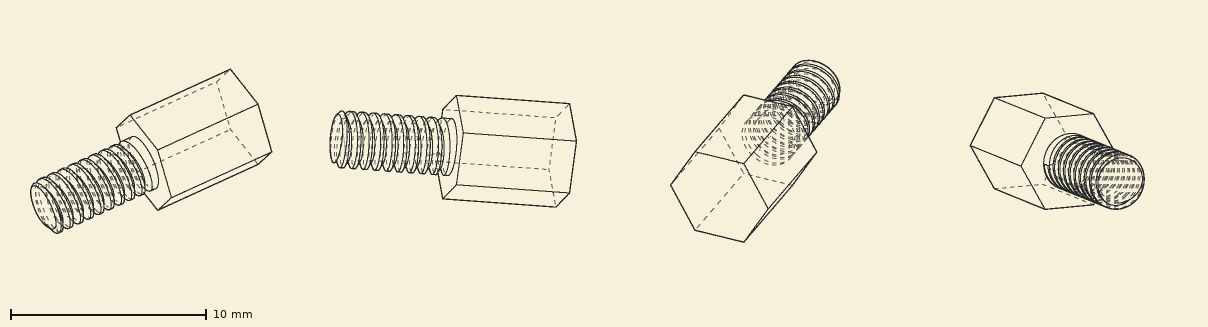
import cadquery as cq
import math

total_length = 12.0
hex_length = 6.0
hex_across_flats = 4.76
hex_across_points = hex_across_flats / math.cos(math.radians(30))

stud_length = total_length - hex_length
stud_radius = 1.46
tip_chamfer = 0.19

thread_pitch = 0.61
thread_depth = 0.37
flank_half_angle = math.radians(30)
thread_start = 0.29
overcut = 0.05


def make_hexagon():
    """Hexagonal prism from the shoulder at Y = 0 toward +Y."""
    return cq.Workplane("XZ").polygon(6, hex_across_points).extrude(-hex_length)


def make_stud():
    """Plain round stud from the shoulder toward -Y, chamfered at its tip."""
    stud = cq.Workplane("XZ").circle(stud_radius).extrude(stud_length)
    return stud.faces("<Y").chamfer(tip_chamfer)


def make_thread_cutter():
    """Helical V groove starting on the -X side and running out past the tip."""
    helix_length = stud_length - thread_start + thread_pitch
    root_radius = stud_radius - thread_depth
    outer_radius = stud_radius + overcut
    half_width = (thread_depth + overcut) * math.tan(flank_half_angle)

    groove_corners = [(root_radius, 0), (outer_radius, half_width), (outer_radius, -half_width)]
    helices = [
        cq.Wire.makeHelix(thread_pitch, helix_length, radius).translate(cq.Vector(0, 0, height))
        for radius, height in groove_corners
    ]

    faces = []
    for helix, next_helix in zip(helices, helices[1:] + helices[:1]):
        faces.extend(cq.Face.makeRuledSurface(helix, next_helix).Faces())
    start_corners = [helix.startPoint() for helix in helices]
    end_corners = [helix.endPoint() for helix in helices]
    for corners in (start_corners, end_corners):
        faces.append(cq.Face.makeFromWires(cq.Wire.makePolygon(corners, close=True)))
    cutter = cq.Workplane(obj=cq.Solid.makeSolid(cq.Shell.makeShell(faces)))

    return (
        cutter.rotate((0, 0, 0), (0, 0, 1), 180)
        .rotate((0, 0, 0), (1, 0, 0), 90)
        .translate((0, -thread_start, 0))
    )


threaded_stud = make_stud().cut(make_thread_cutter())
result = make_hexagon().union(threaded_stud)